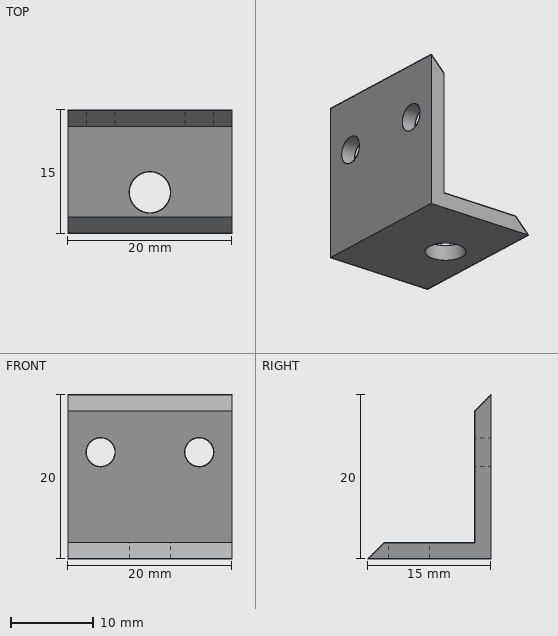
import cadquery as cq

width = 20.0
depth = 15.0
height = 20.0
thickness = 2.0

wall_hole_diameter = 3.5
wall_hole_spacing = 12.0
wall_hole_height = 13.0

base_hole_diameter = 5.0
base_hole_from_back = 10.0

back_y = depth / 2
front_y = -depth / 2


def bracket_body():
    """L profile whose leg ends slope at 45 degrees across the thickness."""
    profile = [
        (front_y, 0),
        (back_y, 0),
        (back_y, height),
        (back_y - thickness, height - thickness),
        (back_y - thickness, thickness),
        (front_y + thickness, thickness),
    ]
    return cq.Workplane("YZ").polyline(profile).close().extrude(width / 2, both=True)


def wall_hole(x):
    """Cutter for a hole through the upright wall."""
    return (
        cq.Workplane("XZ", origin=(x, back_y, wall_hole_height))
        .circle(wall_hole_diameter / 2)
        .extrude(thickness)
    )


def base_hole():
    """Cutter for the single hole through the base leg."""
    return (
        cq.Workplane("XY", origin=(0, back_y - base_hole_from_back, 0))
        .circle(base_hole_diameter / 2)
        .extrude(thickness)
    )


result = bracket_body().cut(base_hole())
for hole_x in (-wall_hole_spacing / 2, wall_hole_spacing / 2):
    result = result.cut(wall_hole(hole_x))